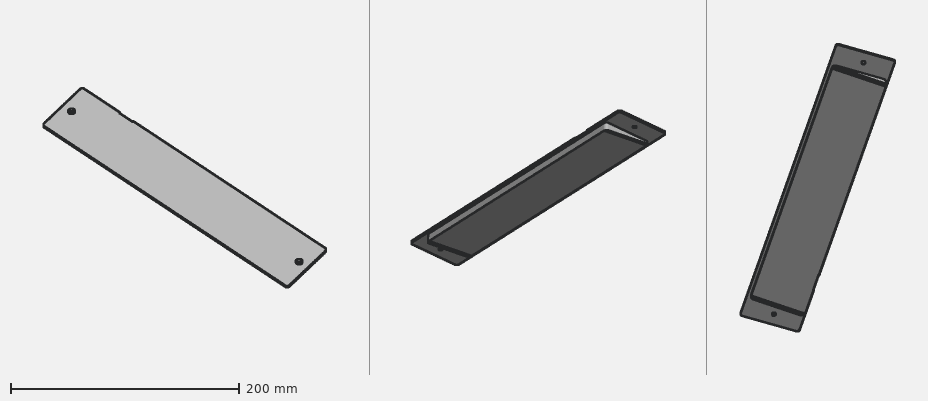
import cadquery as cq

plate_length = 279.8
plate_width = 54.3
plate_thickness = 2.0
plate_corner_radius = 2.2

total_height = 10.0
block_length = 240.0
block_front_inset = 3.0
block_back_inset = 1.7
block_front_depth = 4.5
block_corner_radius = 3.0

groove_end_inset = 2.2
groove_width = 0.8
groove_length = 47.5
groove_depth = 0.5

hole_spacing = 259.7
hole_y = 0.8
hole_diameter = 3.0
countersink_diameter = 6.2
countersink_angle = 90

notch_center_x = -89.0
notch_length = 15.0
notch_depth = 0.8

block_front_y = -plate_width / 2 + block_front_inset
block_back_y = plate_width / 2 - block_back_inset
block_center_y = (block_front_y + block_back_y) / 2
groove_x = block_length / 2 - groove_end_inset


def make_plate():
    plate = (
        cq.Workplane("XY")
        .workplane(offset=-plate_thickness)
        .rect(plate_length, plate_width)
        .extrude(plate_thickness)
        .edges("|Z")
        .fillet(plate_corner_radius)
    )
    notch = (
        cq.Workplane("XY")
        .center(notch_center_x, plate_width / 2)
        .rect(notch_length, 2 * notch_depth)
        .extrude(-plate_thickness)
    )
    return plate.cut(notch)


def make_wedge(lift=0.0):
    """Square-cornered wedge below the plate, with its sloped underside raised by lift."""
    return (
        cq.Workplane("YZ")
        .moveTo(block_front_y, -plate_thickness)
        .lineTo(block_back_y, -plate_thickness)
        .lineTo(block_back_y, -total_height + lift)
        .lineTo(block_front_y, -block_front_depth + lift)
        .close()
        .extrude(block_length / 2, both=True)
    )


def make_grooves():
    """Bars that reach up to the groove floors, parallel to the sloped underside."""
    bars = (
        cq.Workplane("XY")
        .pushPoints([(-groove_x, block_center_y), (groove_x, block_center_y)])
        .rect(groove_width, groove_length)
        .extrude(-total_height)
    )
    return bars.intersect(make_wedge()).cut(make_wedge(groove_depth))


def make_block():
    return make_wedge().edges("|Z").fillet(block_corner_radius).cut(make_grooves())


result = (
    make_plate()
    .union(make_block())
    .faces(">Z")
    .workplane(origin=(0, 0, 0))
    .pushPoints([(-hole_spacing / 2, hole_y), (hole_spacing / 2, hole_y)])
    .cskHole(hole_diameter, countersink_diameter, countersink_angle)
)